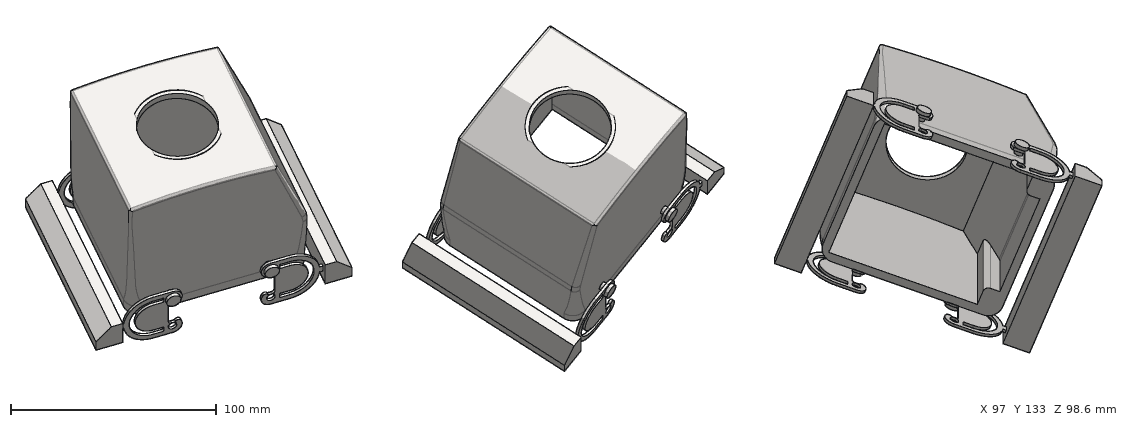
import cadquery as cq
import math


hood_width = 82.9
hood_half_depth = 46.8
hood_height = 82.5
wall = 4.3
rim_height = 5.6
front_lean = 0.5
side_lean = 0.2
kink_z = 35.9
rear_slope = math.radians(20)
kink_radius = 10.6
kink_blend = kink_radius * math.tan(rear_slope / 2)
crown_radius = 305.9
crown_y = -5.9
top_edge_radius = 1.5

rim_corner_radius = 7.5
front_corner_rounding = [(rim_height, rim_corner_radius), (14.6, 4.5), (24, 3.3), (37.2, 2.8), (hood_height, 2.3)]
rear_corner_rounding = [(rim_height, rim_corner_radius), (14.6, 5.5), (24, 4.1), (kink_z - kink_blend, 3.0)]
rear_top_corner_radius = 1.6

entry_diameter = 39.9
spotface_diameter = 43.9
spotface_depth = 0.49

post_width = 10.4
post_front_y = 34.8
post_edge_radius = 2.8

lever_z = -0.7
bar_length = 97.0
bar_outer_y = 66.5
bar_depth = 14.0
bar_top_z = 5.6
bar_height = 14.4
bar_chamfer = 8.0
neck_height = 3.9
plate_inner_x = 43.9
plate_thickness = 1.5
plate_radius = 15.4
plate_center_y = 35.5
plate_edge_y = 27.7
slot_outer_radius = 12.5
slot_inner_radius = 9.5
slot_end_y = 30.0
slot_corner_radius = 0.7
lobe_y = 25.5
lobe_radius = 5.0
pin_diameter = 4.4
pin_head_diameter = 7.5
pin_head_thickness = 1.9
upper_shelf_z = 6.9
lower_shelf_z = -7.8
horn_radius = 1.5
horn_z = -8.2
upper_corner_radius = 0.7
lower_corner_radius = 1.5

lobe_z = plate_radius - lobe_radius
margin = 6.6


def rear_wall_y(z, inset=0.0):
    """Position of the rear wall at height z, moved inwards by inset."""
    kink = kink_z - inset * math.tan(rear_slope / 2)
    return hood_half_depth - inset - max(0.0, z - kink) * math.tan(rear_slope)


def lean_share(z):
    """Share of the full wall lean reached at height z: none up to the rim, all at the top."""
    return max(0.0, z - rim_height) / (hood_height - rim_height)


def front_wall_y(z):
    return -hood_half_depth + front_lean * lean_share(z)


def side_wall_x(z):
    return hood_width / 2 - side_lean * lean_share(z)


def crown_z(y, inset=0.0):
    """Height of the crowned top at position y."""
    center_z = hood_height - crown_radius
    return center_z + math.sqrt((crown_radius - inset) ** 2 - (y - crown_y) ** 2)


def hood_block(inset, bottom):
    """Side profile of the hood, moved inwards by inset and extruded across X."""
    front_bottom = -hood_half_depth + inset
    front_top = front_wall_y(hood_height) + inset
    kink = kink_z - inset * math.tan(rear_slope / 2)
    rear_top_z = crown_z(rear_wall_y(hood_height - inset, inset), inset)
    rear_top_y = rear_wall_y(rear_top_z, inset)
    half_width = hood_width / 2 - inset
    block = (
        cq.Workplane("YZ")
        .moveTo(front_bottom, bottom)
        .lineTo(hood_half_depth - inset, bottom)
        .lineTo(hood_half_depth - inset, kink)
        .lineTo(rear_top_y, rear_top_z)
        .threePointArc((crown_y, hood_height - inset), (front_top, crown_z(front_top, inset)))
        .lineTo(front_bottom, rim_height)
        .close()
        .extrude(half_width, both=True)
    )
    at_kink = cq.selectors.NearestToPointSelector((0, hood_half_depth - inset, kink))
    return block.edges(at_kink).fillet(kink_radius - inset)


def corner_wire(z, wall_y, radius):
    """Outside of a rounded corner at (+X, wall_y): what the rounding takes away, with a margin."""
    side = math.copysign(1, wall_y)
    x = side_wall_x(z)
    inner_y = wall_y - side * radius
    outer_y = wall_y + side * margin
    mid = radius * (1 - math.sqrt(0.5))
    return (
        cq.Workplane("XY", origin=(0, 0, z))
        .moveTo(x, inner_y)
        .lineTo(x + margin, inner_y)
        .lineTo(x + margin, outer_y)
        .lineTo(x - radius, outer_y)
        .lineTo(x - radius, wall_y)
        .threePointArc((x - mid, wall_y - side * mid), (x, inner_y))
        .close()
        .val()
    )


def corner_cutter(sections, ruled):
    wires = [corner_wire(z, wall_y, radius) for z, wall_y, radius in sections]
    return cq.Workplane(cq.Solid.makeLoft(wires, ruled))


def round_upright_corners(hood):
    top = hood_height + margin
    rim = [(z, rim_corner_radius) for z in (-margin, rim_height)]
    kink_corner_radius = rear_corner_rounding[-1][1]
    front = [(z, front_wall_y(z), r) for z, r in front_corner_rounding]
    rear = [(z, rear_wall_y(z), r) for z, r in rear_corner_rounding]
    slope = [
        (kink_z - kink_blend, hood_half_depth, kink_corner_radius),
        (kink_z + kink_blend, rear_wall_y(kink_z + kink_blend), kink_corner_radius),
        (top, rear_wall_y(top), rear_top_corner_radius),
    ]
    cutters = [
        corner_cutter([(z, -hood_half_depth, r) for z, r in rim], True),
        corner_cutter([(z, hood_half_depth, r) for z, r in rim], True),
        corner_cutter(front, False),
        corner_cutter(rear, False),
        corner_cutter(slope, True),
    ]
    for cutter in cutters:
        hood = hood.cut(cutter).cut(cutter.mirror("YZ"))
    return hood


def lean_sides(hood):
    """Cut both side walls above the rim band to their slight lean."""
    base_x = side_wall_x(0)
    sliver = (
        cq.Workplane("XZ")
        .moveTo(base_x, rim_height)
        .lineTo(side_wall_x(hood_height + margin), hood_height + margin)
        .lineTo(base_x + margin, hood_height + margin)
        .lineTo(base_x + margin, rim_height)
        .close()
        .extrude(hood_half_depth + margin, both=True)
    )
    return hood.cut(sliver).cut(sliver.mirror("YZ"))


def inner_post():
    """Upright post in the rear +X inner corner, rounded on its free edge."""
    inner_half_width = hood_width / 2 - wall
    depth = hood_half_depth - post_front_y
    post = cq.Workplane("XY").box(post_width + wall, depth, hood_height, centered=False)
    post = post.edges("|Z and <X and <Y").fillet(post_edge_radius)
    return post.translate((inner_half_width - post_width, post_front_y, 0))


def entry_tool(diameter, bottom):
    return (
        cq.Workplane("XY", origin=(0, crown_y, bottom))
        .circle(diameter / 2)
        .extrude(hood_height + margin - bottom)
    )


def make_hood():
    hood = hood_block(0, 0)
    hood = lean_sides(hood)
    hood = hood.faces(">Z").edges().fillet(top_edge_radius)
    hood = round_upright_corners(hood)
    post = inner_post()
    cavity = hood_block(wall, -margin).cut(post).cut(post.mirror("YZ"))
    hood = hood.cut(cavity)
    hood = hood.cut(entry_tool(spotface_diameter, hood_height - spotface_depth))
    return hood.cut(entry_tool(entry_diameter, hood_height / 2))


def lever_plate():
    """Rear +X lever plate: a half-round plate with a pin lobe above and a hooked lobe below."""
    lobe_reach = math.sqrt(lobe_radius**2 - (lobe_z - upper_shelf_z) ** 2)
    horn_distance = lobe_radius - horn_radius
    horn_y = lobe_y - math.sqrt(horn_distance**2 - (horn_z + lobe_z) ** 2)
    horn_end_y = horn_y + math.sqrt(horn_radius**2 - (lower_shelf_z - horn_z) ** 2)
    touch_scale = lobe_radius / horn_distance
    touch_y = lobe_y + (horn_y - lobe_y) * touch_scale
    touch_z = -lobe_z + (horn_z + lobe_z) * touch_scale
    plate = (
        cq.Workplane("YZ", origin=(plate_inner_x, 0, lever_z))
        .moveTo(lobe_y, plate_radius)
        .lineTo(plate_center_y, plate_radius)
        .threePointArc((plate_center_y + plate_radius, 0), (plate_center_y, -plate_radius))
        .lineTo(lobe_y, -plate_radius)
        .threePointArc((lobe_y - lobe_radius, -lobe_z), (touch_y, touch_z))
        .threePointArc((horn_y, horn_z + horn_radius), (horn_end_y, lower_shelf_z))
        .lineTo(plate_edge_y, lower_shelf_z)
        .lineTo(plate_edge_y, upper_shelf_z)
        .lineTo(lobe_y - lobe_reach, upper_shelf_z)
        .threePointArc((lobe_y - lobe_radius, lobe_z), (lobe_y, plate_radius))
        .close()
        .extrude(plate_thickness)
    )
    for shelf_z, radius in ((upper_shelf_z, upper_corner_radius), (lower_shelf_z, lower_corner_radius)):
        corner = (plate_inner_x + plate_thickness / 2, plate_edge_y, lever_z + shelf_z)
        plate = plate.edges(cq.selectors.NearestToPointSelector(corner)).fillet(radius)

    slot = (
        cq.Workplane("YZ", origin=(plate_inner_x, 0, lever_z))
        .moveTo(slot_end_y, slot_outer_radius)
        .lineTo(plate_center_y, slot_outer_radius)
        .threePointArc((plate_center_y + slot_outer_radius, 0), (plate_center_y, -slot_outer_radius))
        .lineTo(slot_end_y, -slot_outer_radius)
        .lineTo(slot_end_y, -slot_inner_radius)
        .lineTo(plate_center_y, -slot_inner_radius)
        .threePointArc((plate_center_y + slot_inner_radius, 0), (plate_center_y, slot_inner_radius))
        .lineTo(slot_end_y, slot_inner_radius)
        .close()
        .extrude(plate_thickness)
    )
    slot = slot.faces("<Y").edges("|X").fillet(slot_corner_radius)
    hook_hole = (
        cq.Workplane("YZ", origin=(plate_inner_x, lobe_y, lever_z - lobe_z))
        .circle(pin_diameter / 2)
        .extrude(plate_thickness)
    )
    return plate.cut(slot).cut(hook_hole)


def lever_pin():
    """Rear +X pin from the hood wall through the plate, with its head outside."""
    pin_z = lever_z + lobe_z
    plate_outer_x = plate_inner_x + plate_thickness
    wall_x = side_wall_x(pin_z + pin_diameter / 2)
    shaft = (
        cq.Workplane("YZ", origin=(wall_x, lobe_y, pin_z))
        .circle(pin_diameter / 2)
        .extrude(plate_outer_x - wall_x)
    )
    head = (
        cq.Workplane("YZ", origin=(plate_outer_x, lobe_y, pin_z))
        .circle(pin_head_diameter / 2)
        .extrude(pin_head_thickness)
    )
    return shaft.union(head)


def lever_neck():
    """Link between the +X plate and the bar."""
    start_y = plate_center_y + (slot_outer_radius + plate_radius) / 2
    end_y = bar_outer_y - bar_depth
    return (
        cq.Workplane("XY", origin=(plate_inner_x, start_y, lever_z - neck_height / 2))
        .box(plate_thickness, end_y - start_y, neck_height, centered=False)
    )


def lever_bar():
    bar = (
        cq.Workplane("XY", origin=(-bar_length / 2, bar_outer_y - bar_depth, bar_top_z - bar_height))
        .box(bar_length, bar_depth, bar_height, centered=False)
    )
    return bar.edges(">Y and >Z").chamfer(bar_chamfer)


def make_lever():
    """Rear lever: a grip bar carried by two pinned plates."""
    arm = lever_plate().union(lever_pin()).union(lever_neck())
    return lever_bar().union(arm).union(arm.mirror("YZ"))


rear_lever = make_lever()
hood_with_rear_lever = make_hood().union(rear_lever)
front_lever = rear_lever.mirror("XZ").cut(hood_with_rear_lever)

result = cq.Compound.makeCompound([hood_with_rear_lever.solids().val(), front_lever.solids().val()])